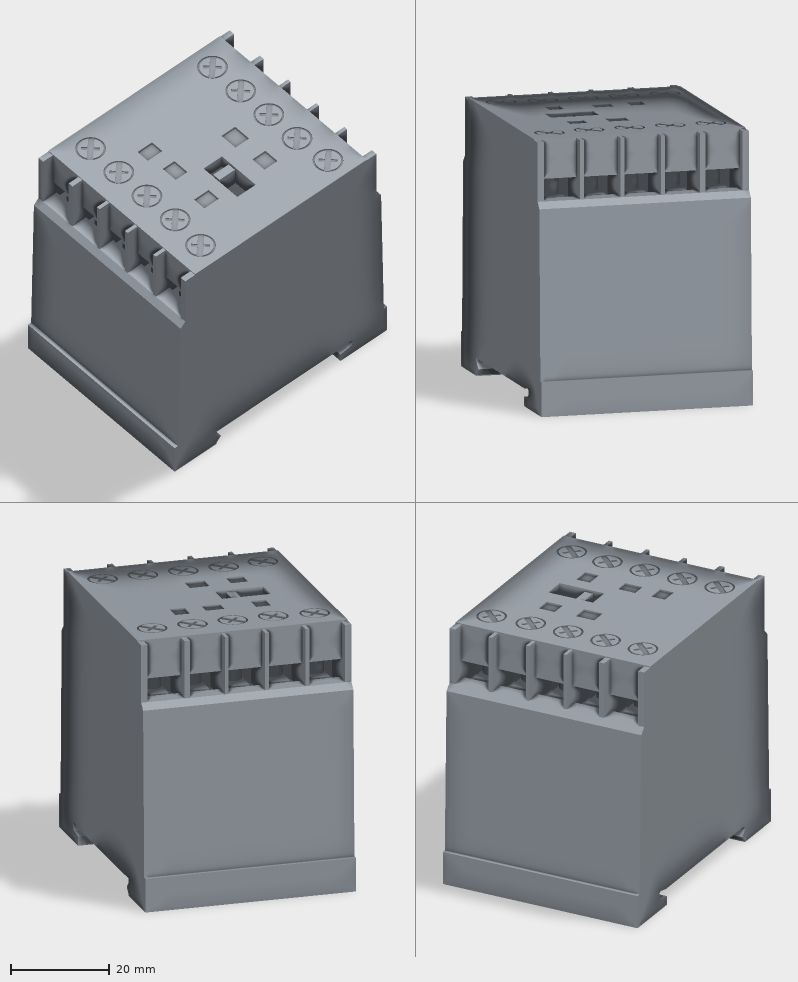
import cadquery as cq

WIDTH = 45.0
DEPTH = 58.0
HEIGHT = 56.7
HALF_WIDTH = WIDTH / 2
HALF_DEPTH = DEPTH / 2

FOOT_HEIGHT = 7.25
TAPER_BOTTOM_Y = 28.15
TAPER_TOP_Y = 27.4
SHOULDER_LOW_Z = 42.85
SHOULDER_HIGH_Z = 44.2
HEAD_Y = 26.1
RIB_TOP_Z = 56.5
COVER_Y = 23.45

RAIL_CEILING_Z = 3.7
HOOK_Y = 16.3
HOOK_TOP_Z = 2.0
GROOVE_MOUTH_Y = 16.65
GROOVE_END_Y = 18.9
GROOVE_LOW_Z = 2.4
GROOVE_HIGH_Z = 4.2
GROOVE_TIP_Y = 19.6
LATCH_ROOT_Y = -17.65
LATCH_TIP_Y = -16.35
LATCH_HIGH_Z = 2.8
LATCH_TIP_Z = 1.6
LATCH_LOW_Z = 0.25

SCREW_PITCH = 8.65
SCREW_COUNT = 5
MIDDLE_SCREW_X = 0.1
SCREW_Y = 16.65
LAST_SCREW_SHIFT = 0.75
RIB_THICKNESS = 0.8
FIRST_RIB_THICKNESS = 1.15
OUTER_RIB_THICKNESS = 1.4
CHAMBER_TOP_Z = 48.4
LEDGE_DEPTH = 3.7
PIT_DEPTH = 1.45
PLATFORM_SETBACK = 4.65
PLATFORM_WIDTH = 4.05
SHAFT_DIAMETER = 3.7

HEAD_RING_OUTER_D = 6.25
HEAD_RING_INNER_D = 5.4
RING_DEPTH = 0.35
SLOT_WIDTH = 1.3
CROSS_SLOT_WIDTH = 0.75
CROSS_SLOT_LENGTH = 3.9
SLOT_DEPTH = 0.3
SLOT_ANGLE = -45

RECESS_DEPTH = 0.6
RECESSES = [
    (0.1, 7.5, 4.3, 3.7),
    (8.8, 7.85, 3.7, 3.55),
    (-8.5, -8.1, 3.2, 3.95),
    (-1.3, -7.7, 4.0, 3.2),
    (8.8, -8.1, 3.2, 3.95),
]

WINDOW_X = (2.2, 12.5)
WINDOW_Y = (-3.0, 2.0)
WINDOW_STEP = 1.6
WINDOW_LEDGE_DEPTH = 3.2
WINDOW_DEPTH = 4.65
SLIDER_X = (4.5, 6.45)
SLIDER_Y = (-2.45, 1.75)
SLIDER_DROP = 0.35


def block(x_range, y_range, z_range):
    """Box spanning the given coordinate ranges, whichever way round they are."""
    ranges = (x_range, y_range, z_range)
    sizes = [abs(b - a) for a, b in ranges]
    centers = [(a + b) / 2 for a, b in ranges]
    return cq.Workplane("XY").box(*sizes).translate(tuple(centers))


def extrude_profile(profile):
    """Extrude a closed YZ profile over the full width."""
    return profile.close().extrude(HALF_WIDTH, both=True)


def make_body():
    half_outline = [
        (HALF_DEPTH, 0),
        (HALF_DEPTH, FOOT_HEIGHT),
        (TAPER_BOTTOM_Y, FOOT_HEIGHT),
        (TAPER_TOP_Y, SHOULDER_LOW_Z),
        (HEAD_Y, SHOULDER_HIGH_Z),
        (HEAD_Y, RIB_TOP_Z),
        (COVER_Y, RIB_TOP_Z),
        (COVER_Y, HEIGHT),
    ]
    mirrored = [(-y, z) for y, z in reversed(half_outline)]
    return extrude_profile(cq.Workplane("YZ").polyline(half_outline + mirrored))


def make_rail_channel():
    profile = (
        cq.Workplane("YZ")
        .moveTo(HOOK_Y, 0)
        .lineTo(HOOK_Y, HOOK_TOP_Z)
        .lineTo(GROOVE_END_Y, GROOVE_LOW_Z)
        .threePointArc(
            (GROOVE_TIP_Y, (GROOVE_LOW_Z + GROOVE_HIGH_Z) / 2),
            (GROOVE_END_Y, GROOVE_HIGH_Z),
        )
        .lineTo(GROOVE_MOUTH_Y, RAIL_CEILING_Z)
        .lineTo(LATCH_ROOT_Y, RAIL_CEILING_Z)
        .lineTo(LATCH_ROOT_Y, LATCH_HIGH_Z)
        .lineTo(LATCH_TIP_Y, LATCH_TIP_Z)
        .lineTo(LATCH_ROOT_Y, LATCH_LOW_Z)
        .lineTo(LATCH_ROOT_Y, 0)
    )
    return extrude_profile(profile)


def screw_x(index):
    return MIDDLE_SCREW_X + (index - (SCREW_COUNT - 1) / 2) * SCREW_PITCH


def screw_y(index):
    is_last = index == SCREW_COUNT - 1
    return SCREW_Y + (LAST_SCREW_SHIFT if is_last else 0)


def pocket_x_range(index):
    """Clear span between the ribs on either side of a terminal."""
    half_pitch = SCREW_PITCH / 2
    left = screw_x(index) - half_pitch + RIB_THICKNESS / 2
    right = screw_x(index) + half_pitch - RIB_THICKNESS / 2
    if index == 0:
        left = -HALF_WIDTH + OUTER_RIB_THICKNESS
    if index == 1:
        left += FIRST_RIB_THICKNESS - RIB_THICKNESS
    if index == SCREW_COUNT - 1:
        right = HALF_WIDTH - OUTER_RIB_THICKNESS
    return left, right


def make_terminal_pocket(index, side):
    """Open wire pocket and the undercut chamber around the screw shaft; side is +1 or -1 along Y."""
    x_range = pocket_x_range(index)
    floor_z = SHOULDER_HIGH_Z
    pit_z = floor_z - PIT_DEPTH
    face_y = side * HEAD_Y
    axis_y = side * screw_y(index)
    ledge_y = side * (HEAD_Y - LEDGE_DEPTH)
    platform_y = side * (HEAD_Y - PLATFORM_SETBACK)
    platform_x = (screw_x(index) - PLATFORM_WIDTH / 2, screw_x(index) + PLATFORM_WIDTH / 2)

    mouth = block(x_range, (side * COVER_Y, face_y), (floor_z, HEIGHT))
    chamber = block(x_range, (axis_y, face_y), (floor_z, CHAMBER_TOP_Z))
    pit = block(x_range, (axis_y, ledge_y), (pit_z, floor_z))
    platform = block(platform_x, (axis_y, platform_y), (pit_z, floor_z))
    shaft = (
        cq.Workplane("XY", origin=(screw_x(index), axis_y, pit_z))
        .circle(SHAFT_DIAMETER / 2)
        .extrude(CHAMBER_TOP_Z - pit_z)
    )
    return mouth.union(chamber).union(pit).cut(platform).cut(shaft)


def make_screw_recess(index, side):
    """Ring groove and crossed driver slots of one screw head."""
    def top_plane(depth):
        return cq.Workplane("XY", origin=(screw_x(index), side * screw_y(index), HEIGHT - depth))

    ring = (
        top_plane(RING_DEPTH)
        .circle(HEAD_RING_OUTER_D / 2)
        .circle(HEAD_RING_INNER_D / 2)
        .extrude(RING_DEPTH)
    )
    head = top_plane(SLOT_DEPTH).circle(HEAD_RING_INNER_D / 2).extrude(SLOT_DEPTH)
    plane = top_plane(SLOT_DEPTH).transformed(rotate=(0, 0, SLOT_ANGLE))
    slot = plane.rect(HEAD_RING_OUTER_D, SLOT_WIDTH).extrude(SLOT_DEPTH).intersect(head)
    cross_slot = plane.rect(CROSS_SLOT_WIDTH, CROSS_SLOT_LENGTH).extrude(SLOT_DEPTH)
    return ring.union(slot).union(cross_slot)


def make_window():
    ledge_z = HEIGHT - WINDOW_LEDGE_DEPTH
    bottom_z = HEIGHT - WINDOW_DEPTH
    middle_x = (WINDOW_X[0] + WINDOW_STEP, WINDOW_X[1] - WINDOW_STEP)
    opening = block(WINDOW_X, WINDOW_Y, (ledge_z, HEIGHT))
    well = block(middle_x, WINDOW_Y, (bottom_z, HEIGHT))
    slider = block(SLIDER_X, SLIDER_Y, (bottom_z, HEIGHT - SLIDER_DROP))
    return opening.union(well).cut(slider)


result = make_body().cut(make_rail_channel()).cut(make_window())

for side in (-1, 1):
    for index in range(SCREW_COUNT):
        result = result.cut(make_terminal_pocket(index, side))
        result = result.cut(make_screw_recess(index, side))

for x, y, x_size, y_size in RECESSES:
    recess = cq.Workplane("XY", origin=(x, y, HEIGHT - RECESS_DEPTH)).rect(x_size, y_size)
    result = result.cut(recess.extrude(RECESS_DEPTH))